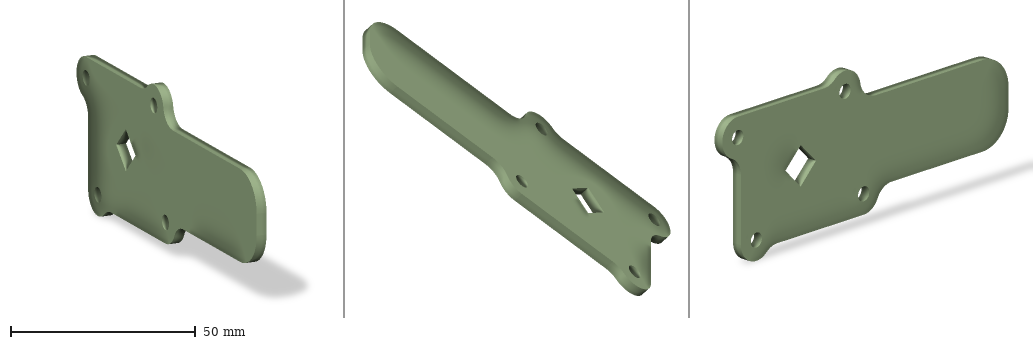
import cadquery as cq
import math

thickness = 3.0
overall_length = 110.2
lug_radius = 6.0
blend_radius = 6.0
hole_diameter = 4.3
square_hole_diagonal = 11.8

outer_lug_x = 24.2
outer_lug_z = 14.0
inner_lug_offset = 17.1
top_left = (-outer_lug_x, outer_lug_z)
top_right = (inner_lug_offset, inner_lug_offset)
bottom_left = (-inner_lug_offset, -inner_lug_offset)
bottom_right = (outer_lug_x, -outer_lug_z)
lug_centers = [top_left, top_right, bottom_right, bottom_left]

body_half_height = outer_lug_z + lug_radius
body_left = -inner_lug_offset - lug_radius
arm_half_height = 13.1
arm_corner_radius = 10.0
arm_right = overall_length - outer_lug_x - lug_radius


def blend_beside_lug(lug, edge_z, outward, side):
    """Center of the blend touching a lug and the horizontal edge at edge_z.

    outward is +1 for a top edge and -1 for a bottom edge;
    side is the X direction from the lug to the blend.
    """
    center_z = edge_z + outward * blend_radius
    reach = math.sqrt((lug_radius + blend_radius) ** 2 - (center_z - lug[1]) ** 2)
    return (lug[0] + side * reach, center_z)


def blend_beside_left_edge():
    """Center of the blend touching the top left lug and the left edge."""
    center_x = body_left - blend_radius
    drop = math.sqrt((lug_radius + blend_radius) ** 2 - (center_x - top_left[0]) ** 2)
    return (center_x, top_left[1] - drop)


def touch_point(lug, blend):
    """Point where a lug circle meets its blend circle."""
    share = lug_radius / (lug_radius + blend_radius)
    return tuple(a + (b - a) * share for a, b in zip(lug, blend))


def add_arc(path, start, end, center, clockwise):
    """Add the arc about center that runs from start to end."""
    radius = math.dist(start, center)
    start_angle = math.atan2(start[1] - center[1], start[0] - center[0])
    end_angle = math.atan2(end[1] - center[1], end[0] - center[0])
    sweep = (end_angle - start_angle) % math.tau
    if clockwise:
        sweep -= math.tau
    middle_angle = start_angle + sweep / 2
    middle = (
        center[0] + radius * math.cos(middle_angle),
        center[1] + radius * math.sin(middle_angle),
    )
    return path.threePointArc(middle, end)


def make_plate():
    """Trace the outline clockwise from the top left lug and extrude it."""
    body_top_blend = blend_beside_lug(top_right, body_half_height, 1, -1)
    arm_top_blend = blend_beside_lug(top_right, arm_half_height, 1, 1)
    arm_bottom_blend = blend_beside_lug(bottom_right, -arm_half_height, -1, 1)
    body_bottom_blend = blend_beside_lug(bottom_left, -body_half_height, -1, 1)
    left_blend = blend_beside_left_edge()

    start = (top_left[0], body_half_height)
    path = cq.Workplane("XZ").moveTo(*start)

    edge_end = (body_top_blend[0], body_half_height)
    lug_start = touch_point(top_right, body_top_blend)
    lug_end = touch_point(top_right, arm_top_blend)
    arm_start = (arm_top_blend[0], arm_half_height)
    path = path.lineTo(*edge_end)
    path = add_arc(path, edge_end, lug_start, body_top_blend, clockwise=False)
    path = add_arc(path, lug_start, lug_end, top_right, clockwise=True)
    path = add_arc(path, lug_end, arm_start, arm_top_blend, clockwise=False)

    arm_end = (arm_bottom_blend[0], -arm_half_height)
    path = path.lineTo(arm_right, arm_half_height)
    path = path.lineTo(arm_right, -arm_half_height)
    path = path.lineTo(*arm_end)

    lug_start = touch_point(bottom_right, arm_bottom_blend)
    lug_end = (bottom_right[0], -body_half_height)
    edge_end = (body_bottom_blend[0], -body_half_height)
    path = add_arc(path, arm_end, lug_start, arm_bottom_blend, clockwise=False)
    path = add_arc(path, lug_start, lug_end, bottom_right, clockwise=True)
    path = path.lineTo(*edge_end)

    lug_start = touch_point(bottom_left, body_bottom_blend)
    lug_end = (body_left, bottom_left[1])
    path = add_arc(path, edge_end, lug_start, body_bottom_blend, clockwise=False)
    path = add_arc(path, lug_start, lug_end, bottom_left, clockwise=True)
    edge_end = (body_left, left_blend[1])
    path = path.lineTo(*edge_end)

    lug_start = touch_point(top_left, left_blend)
    path = add_arc(path, edge_end, lug_start, left_blend, clockwise=False)
    path = add_arc(path, lug_start, start, top_left, clockwise=True)

    plate = path.close().extrude(thickness / 2, both=True)
    return plate.faces(">X").edges("|Y").fillet(arm_corner_radius)


def cut_holes(plate):
    """Cut the round lug holes and the square hole standing on its corner."""
    round_holes = (
        cq.Workplane("XZ", origin=(0, thickness, 0))
        .pushPoints(lug_centers)
        .circle(hole_diameter / 2)
        .extrude(2 * thickness)
    )
    square_hole = (
        cq.Workplane("XZ", origin=(0, thickness, 0))
        .polygon(4, square_hole_diagonal)
        .extrude(2 * thickness)
    )
    return plate.cut(round_holes).cut(square_hole)


result = cut_holes(make_plate())